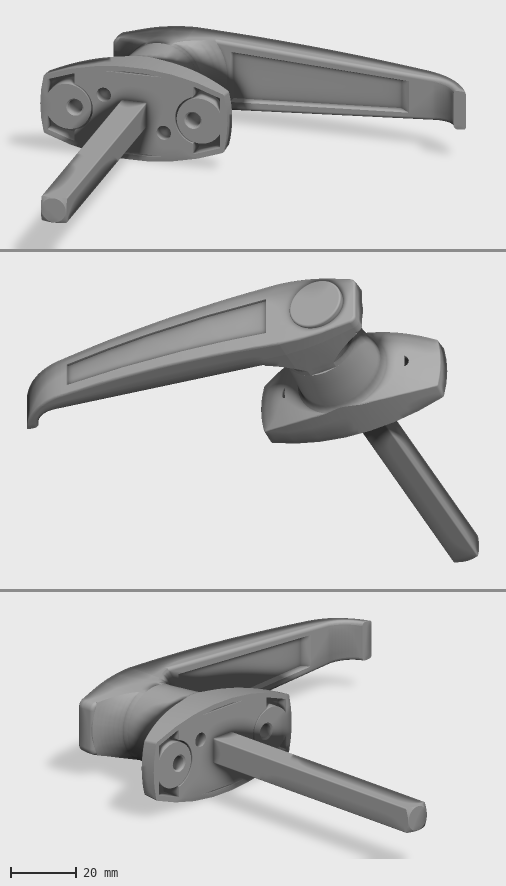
import cadquery as cq
import math


rim_margin = 0.1

spindle_width = 8.2
spindle_edge_round = 0.4
spindle_bottom = -84.6
spindle_top = 36.0
spindle_end_diameter = 7.9
spindle_end_angle = 30.0

base_half_length = 30.1
base_half_width = 15.345
base_side_radius = 75.0
base_end_radius = 39.0
base_side_draft = 5.7
base_corner_round = 1.0
base_top_round = 0.5
corner_zone_start = 28.0
slope_outer_radius = 34.0
slope_outer_height = 3.0
slope_middle_radius = 23.2
slope_middle_height = 8.7
slope_inner_radius = 13.0
slope_inner_height = 12.45
rim_region_bottom = 4.0
shoulder_radius = 16.4
shoulder_height = 11.2
neck_bottom_radius = 13.7
neck_bottom_height = 14.4
neck_top_radius = 12.45
neck_top = 28.85
flare_out = 0.25
flare_down = 0.62

rim_side = 1.65
rim_end = 2.4
recess_depth = 3.0
cover_thickness = 2.5
pad_centre_x = 21.2
pad_radius = 7.4
pad_gap = 0.6
screw_x = 19.0
screw_diameter = 4.6
screw_mouth_diameter = 5.6
screw_depth = 10.0

plate_half_length = 19.0
plate_half_width = 13.05
plate_hole_x = 9.65
plate_hole_z = 5.2
plate_hole_diameter = 4.6
drill_point_depth = 1.4

handle_back_x = -18.5
handle_tip_x = 97.01
handle_back_half_width = 8.2
handle_shoulder_x = -13.1
handle_shoulder_half_width = 9.5
handle_wide_x = 6.0
handle_wide_half_width = 12.05
handle_bulge_x = -4.0
handle_bulge_half_width = 11.45
handle_corner_round = 2.0
grip_bottom = 38.2
parting_height = 41.5
crown_x = 32.0
crown_top = 48.23
crown_start_x = -22.0
crown_start_top = 43.8
plan_end_x = 100.0
plan_end_half_width = 6.0
hook_x = 80.0
hook_top = 44.7
hook_bottom = 32.0
hook_inner_x = 93.1
hook_start_x = 85.0
hook_outer_middle = (91.1, 40.0)
hook_inner_middle = (90.6, 35.9)
upper_draft = 3.0
lower_rim_round = 1.1
upper_rim_round = 0.8
flare_radius = 18.4
flare_mid_radius = 14.3
flare_mid_height = 34.9
flare_start_height = 31.0

pocket_start_x = 19.2
pocket_end_x = 76.8
pocket_start_half_width = 8.3
pocket_end_half_width = 5.2
pocket_depth = 1.6
pocket_draft = 25.0
pocket_end_slope = 2.9
panel_start_x = 10.0
panel_end_x = 78.0
panel_start_half_width = 6.6
panel_end_half_width = 4.0
panel_depth = 0.9
cap_centre_x = -6.2
cap_diameter = 17.2
cap_top = 47.4
cap_edge_round = 0.6

handle_clear_height = 60.0


def plan(height):
    """Workplane facing +Y at the given height; its local y runs along -Z."""
    return cq.Workplane(cq.Plane(origin=(0, height, 0), xDir=(1, 0, 0), normal=(0, 1, 0)))


def lens(bottom, height, half_width, radius, draft=0.0):
    """Block between two long side arcs that meet in a point at each end."""
    half_length = math.sqrt(radius**2 - (radius - half_width) ** 2)
    outline = (
        plan(bottom)
        .moveTo(-half_length, 0)
        .threePointArc((0, half_width), (half_length, 0))
        .threePointArc((0, -half_width), (-half_length, 0))
        .close()
    )
    return outline.extrude(height, taper=draft)


def side_prism(outline, half_depth):
    """Outline in the XY plane made solid on both sides of it."""
    return outline.extrude(half_depth, both=True)


def turned(outline):
    """Outline in the XY plane revolved about the Y axis."""
    return outline.revolve(360, (0, 0, 0), (0, 1, 0))


def tapered_bar(bottom, height, start_x, end_x, start_half, end_half, draft=0.0):
    """Block whose width changes evenly from one X to another."""
    corners = [(start_x, -start_half), (end_x, -end_half), (end_x, end_half), (start_x, start_half)]
    return plan(bottom).polyline(corners).close().extrude(height, taper=draft)


def make_spindle():
    length = spindle_top - spindle_bottom
    bar = plan(spindle_bottom).rect(spindle_width, spindle_width).extrude(length)
    bar = bar.edges("|Y").fillet(spindle_edge_round)
    end_radius = spindle_end_diameter / 2
    cone_growth = spindle_width - end_radius
    cone_height = cone_growth * math.tan(math.radians(spindle_end_angle))
    turned_end = turned(
        cq.Workplane("XY")
        .moveTo(0, spindle_bottom)
        .lineTo(end_radius, spindle_bottom)
        .lineTo(spindle_width, spindle_bottom + cone_height)
        .lineTo(spindle_width, spindle_top)
        .lineTo(0, spindle_top)
        .close()
    )
    return bar.intersect(turned_end)


def slope_profile(drop):
    """Half section of the sloping top, lowered by a given drop."""
    return (
        cq.Workplane("XY")
        .lineTo(slope_outer_radius, 0)
        .lineTo(slope_outer_radius, slope_outer_height - drop)
        .threePointArc(
            (slope_middle_radius, slope_middle_height - drop),
            (slope_inner_radius, slope_inner_height - drop),
        )
        .lineTo(0, slope_inner_height - drop)
        .close()
    )


def base_end_block():
    """Upright block that gives the base its two rounded ends and their corners."""
    half_width = base_half_width
    corner_x = base_half_length - base_end_radius + math.sqrt(base_end_radius**2 - half_width**2)
    return (
        plan(0)
        .moveTo(-corner_x, -half_width)
        .lineTo(corner_x, -half_width)
        .threePointArc((base_half_length, 0), (corner_x, half_width))
        .lineTo(-corner_x, half_width)
        .threePointArc((-base_half_length, 0), (-corner_x, -half_width))
        .close()
        .extrude(neck_top)
    )


def base_footprint():
    """Drafted sides and upright ends of the base, with rounded corners."""
    sides = lens(0, neck_top, base_half_width, base_side_radius, base_side_draft)
    footprint = base_end_block().intersect(sides)
    for direction in (-1, 1):
        corner_region = cq.selectors.BoxSelector(
            (direction * corner_zone_start, rim_margin, -base_half_width),
            (direction * base_half_length, neck_top - rim_margin, base_half_width),
        )
        footprint = footprint.edges(corner_region).fillet(base_corner_round)
    return footprint


def base_foot(footprint):
    """Foot with a rounded rim around its sloping top."""
    foot = turned(slope_profile(0)).intersect(footprint)
    rim_region = cq.selectors.BoxSelector(
        (-base_half_length - rim_margin, rim_region_bottom, -base_half_width),
        (base_half_length + rim_margin, slope_inner_height - rim_margin, base_half_width),
        True,
    )
    return foot.edges(rim_region).fillet(base_top_round)


def base_neck():
    """Tapered neck with a flare running out onto the sloping top."""
    flare_middle = (
        neck_bottom_radius + (shoulder_radius - neck_bottom_radius) * flare_out,
        neck_bottom_height - (neck_bottom_height - shoulder_height) * flare_down,
    )
    return turned(
        cq.Workplane("XY")
        .lineTo(shoulder_radius, 0)
        .lineTo(shoulder_radius, shoulder_height)
        .threePointArc(flare_middle, (neck_bottom_radius, neck_bottom_height))
        .lineTo(neck_top_radius, neck_top)
        .lineTo(0, neck_top)
        .close()
    )


def inner_lens(height):
    return lens(0, height, base_half_width - rim_side, base_side_radius - rim_side)


def base_recess():
    """Shallow seat for the plate, with deeper corners that follow the sloping top."""
    seat = plan(0).rect(2 * plate_half_length, 2 * base_half_width).extrude(recess_depth)
    corners = turned(slope_profile(cover_thickness))
    recess_half_length = base_half_length - rim_end
    corner_length = recess_half_length - plate_half_length
    corner_x = plate_half_length + corner_length / 2
    corner_boxes = (
        plan(0)
        .pushPoints([(-corner_x, 0), (corner_x, 0)])
        .rect(corner_length, 2 * base_half_width)
        .extrude(neck_bottom_height)
    )
    recess = seat.union(corners.intersect(corner_boxes)).intersect(inner_lens(neck_bottom_height))
    return recess.cut(discs_at_pads(pad_radius, neck_bottom_height))


def discs_at_pads(radius, height):
    centres = [(-pad_centre_x, 0), (pad_centre_x, 0)]
    return plan(0).pushPoints(centres).circle(radius).extrude(height)


def screw_holes():
    """Blind screw holes with a small conical mouth."""
    mouth_depth = (screw_mouth_diameter - screw_diameter) / 2
    centres = [(-screw_x, 0), (screw_x, 0)]
    bores = plan(0).pushPoints(centres).circle(screw_diameter / 2).extrude(screw_depth)
    for x in (-screw_x, screw_x):
        mouth = cq.Solid.makeCone(
            screw_mouth_diameter / 2, screw_diameter / 2, mouth_depth, cq.Vector(x, 0, 0), cq.Vector(0, 1, 0)
        )
        bores = bores.union(cq.Workplane(mouth))
    return bores


def plate_hole_centres():
    """Two diagonal holes, as X and local y (which is -Z)."""
    return [(-plate_hole_x, -plate_hole_z), (plate_hole_x, plate_hole_z)]


def drill_points():
    """Conical hole bottoms in the base, behind the holes of the plate."""
    cones = cq.Workplane("XY")
    for x, minus_z in plate_hole_centres():
        tip = cq.Solid.makeCone(
            plate_hole_diameter / 2,
            0,
            drill_point_depth,
            cq.Vector(x, recess_depth, -minus_z),
            cq.Vector(0, 1, 0),
        )
        cones = cones.add(tip)
    return cones.combine()


def make_base(spindle):
    footprint = base_footprint()
    base = base_foot(footprint).union(base_neck().intersect(footprint))
    base = base.cut(base_recess()).cut(screw_holes()).cut(drill_points())
    return base.cut(spindle)


def make_plate(spindle):
    plate = plan(0).rect(2 * plate_half_length, 2 * plate_half_width).extrude(recess_depth)
    plate = plate.intersect(inner_lens(recess_depth))
    plate = plate.cut(discs_at_pads(pad_radius + pad_gap, recess_depth))
    holes = plan(0).pushPoints(plate_hole_centres()).circle(plate_hole_diameter / 2).extrude(recess_depth)
    return plate.cut(holes).cut(spindle)


def handle_outline(height, inset=0.0):
    """Plan outline: rounded back end, widest near the axis, straight taper to the tip."""
    back_x = handle_back_x + inset
    back = handle_back_half_width - inset
    shoulder = handle_shoulder_half_width - inset
    bulge = handle_bulge_half_width - inset
    wide = handle_wide_half_width - inset
    tip = plan_end_half_width - inset
    corner_x = back_x + handle_corner_round
    corner = back + handle_corner_round * (shoulder - back) / (handle_shoulder_x - back_x)
    corner_cut = handle_corner_round * (1 - math.sqrt(0.5))
    corner_middle = (back_x + corner_cut, back - corner_cut / 2)
    half = (
        plan(height)
        .moveTo(plan_end_x, 0)
        .lineTo(plan_end_x, tip)
        .lineTo(handle_wide_x, wide)
        .threePointArc((handle_bulge_x, bulge), (handle_shoulder_x, shoulder))
        .lineTo(corner_x, corner)
        .threePointArc(corner_middle, (back_x, back - handle_corner_round))
        .lineTo(back_x, 0)
    )
    return half.mirrorX()


def handle_plan_block():
    """Upright sides below the parting line, drafted sides above it."""
    lower = handle_outline(neck_top).extrude(parting_height - neck_top)
    inset = (handle_clear_height - parting_height) * math.tan(math.radians(upper_draft))
    wires = [handle_outline(parting_height).val(), handle_outline(handle_clear_height, inset).val()]
    upper = cq.Workplane(cq.Solid.makeLoft(wires, True))
    return lower.union(upper)


def crown(outline, drop=0.0):
    """Continue an outline from the back end along the crowned top to the hook."""
    return outline.lineTo(crown_start_x, crown_start_top - drop).threePointArc(
        (crown_x, crown_top - drop), (hook_x, hook_top - drop)
    )


def grip_profile():
    """Side profile of the lever with its downward hook."""
    outline = crown(cq.Workplane("XY").moveTo(crown_start_x, grip_bottom))
    return (
        outline.threePointArc(hook_outer_middle, (handle_tip_x, hook_bottom))
        .lineTo(hook_inner_x, hook_bottom)
        .threePointArc(hook_inner_middle, (hook_start_x, grip_bottom))
        .close()
    )


def make_lever(plan_block):
    """Lever with a rounded lower rim and a rounded rim around its crowned top."""
    reach = 2 * handle_wide_half_width
    lever = side_prism(grip_profile(), reach).intersect(plan_block)
    upper_rim = cq.selectors.BoxSelector(
        (crown_start_x, parting_height + rim_margin, -reach),
        (plan_end_x, handle_clear_height, reach),
        True,
    )
    lower_rim = cq.selectors.BoxSelector(
        (handle_shoulder_x - rim_margin, 0, -reach),
        (hook_inner_x + rim_margin, grip_bottom + rim_margin, reach),
        True,
    )
    lever = lever.edges(upper_rim).edges("not |Z").fillet(upper_rim_round)
    return lever.edges(lower_rim).edges("not |Z").edges("not |X").fillet(lower_rim_round)


def handle_neck():
    """Turned neck that flares out into the underside of the lever."""
    return turned(
        cq.Workplane("XY")
        .moveTo(0, neck_top)
        .lineTo(neck_top_radius, neck_top)
        .lineTo(neck_top_radius, flare_start_height)
        .threePointArc((flare_mid_radius, flare_mid_height), (flare_radius, grip_bottom))
        .lineTo(flare_radius, parting_height)
        .lineTo(0, parting_height)
        .close()
    )


def grip_pocket():
    """Drafted pocket whose floor runs out in a slope at the far end."""
    sides = tapered_bar(
        grip_bottom,
        pocket_depth,
        pocket_start_x,
        pocket_end_x,
        pocket_start_half_width,
        pocket_end_half_width,
        pocket_draft,
    )
    floor_height = grip_bottom + pocket_depth
    profile = (
        cq.Workplane("XY")
        .moveTo(pocket_start_x, grip_bottom)
        .lineTo(pocket_end_x, grip_bottom)
        .lineTo(pocket_end_x - pocket_end_slope, floor_height)
        .lineTo(pocket_start_x, floor_height)
        .close()
    )
    return sides.intersect(side_prism(profile, 2 * pocket_start_half_width))


def top_panel():
    """Shallow panel sunk evenly below the crowned top."""
    above_floor = side_prism(
        crown(cq.Workplane("XY").moveTo(crown_start_x, handle_clear_height), panel_depth)
        .lineTo(hook_x, handle_clear_height)
        .close(),
        handle_wide_half_width,
    )
    outline = tapered_bar(
        parting_height,
        handle_clear_height - parting_height,
        panel_start_x,
        panel_end_x,
        panel_start_half_width,
        panel_end_half_width,
    )
    return outline.intersect(above_floor)


def make_cap():
    cap = plan(parting_height).center(cap_centre_x, 0).circle(cap_diameter / 2)
    return cap.extrude(cap_top - parting_height).faces(">Y").edges().fillet(cap_edge_round)


def make_handle(spindle):
    plan_block = handle_plan_block()
    body = make_lever(plan_block).union(handle_neck().intersect(plan_block))
    body = body.cut(grip_pocket()).cut(top_panel()).union(make_cap())
    return body.cut(spindle)


spindle = make_spindle()
base = make_base(spindle)
plate = make_plate(spindle)
handle = make_handle(spindle)

result = cq.Compound.makeCompound([base.val(), plate.val(), spindle.val(), handle.val()])